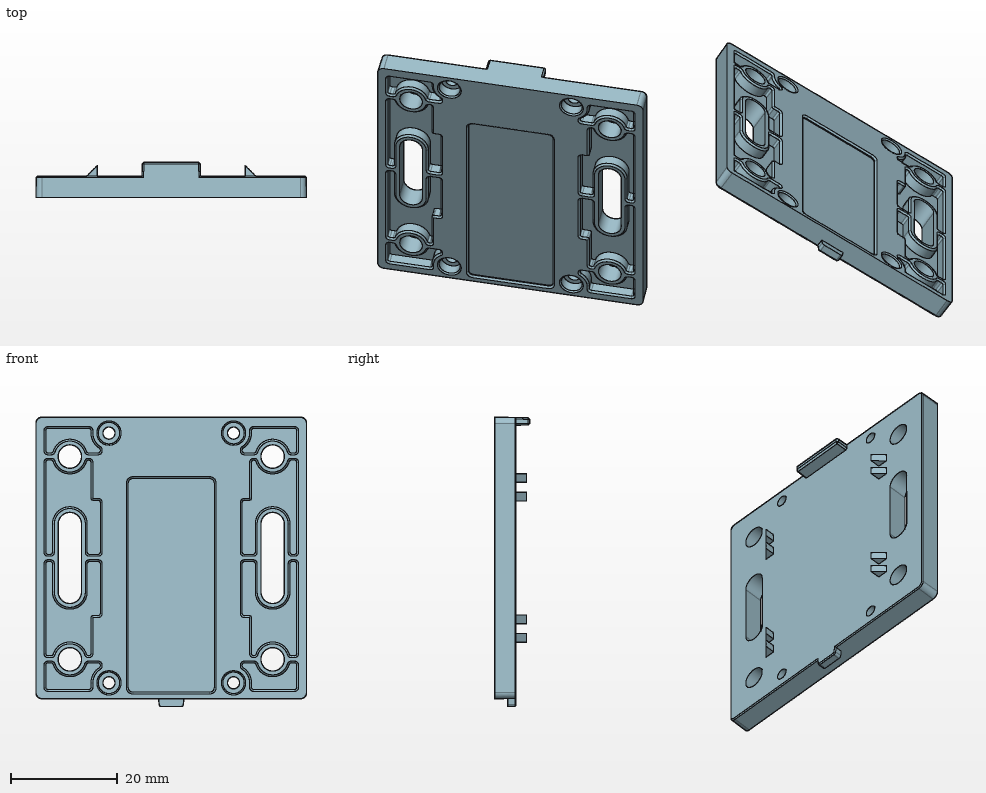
import cadquery as cq

width = 50.75
overall_height = 54.25
overall_depth = 6.6
plate_height = 52.8
plate_thickness = 4.0
plate_corner_radius = 1.2
back_edge_chamfer = 0.2
draft_angle = 1.0
edge_chamfer = 0.355

hole_x = 19.0
hole_z = 19.0
hole_diameter = 4.35
slot_length = 17.05
collar_wall = 1.1

pocket_depth = 2.2

screw_x = 11.65
screw_z = 23.4
screw_diameter = 2.2
counterbore_diameter = 4.0
counterbore_depth = pocket_depth
counterbore_chamfer = 0.25
screw_boss_radius = 3.35

pocket_outer_x = 23.5
pocket_wide_x = 13.3
pocket_top_z = 24.25
pocket_bottom_z = -24.65
pocket_step_z = 10.8
rib_thickness = 1.35
pocket_corner_radius = 0.405
pocket_narrow_x = screw_x + screw_boss_radius

recess_width = 16.1
recess_top_z = 14.85
recess_bottom_z = -25.1
recess_depth = 0.55
recess_corner_radius = 0.85

catch_width = 11.1
catch_height = 1.65
catch_chamfer = 0.3

hook_inner_x = 13.85
hook_size = 2.0
hook_thickness = 1.7
hook_pair_z = 13.25
hook_spacing = 3.5

tab_top_width = 5.0
tab_bottom_width = 4.45
tab_depth = 1.6
tab_root = 0.8
tab_chamfer = 0.2
tab_corner_radius = 0.5
tab_drop = overall_height - plate_height


def front_plane(y=0):
    return cq.Workplane("XZ", origin=(0, y, 0))


def block(x_min, x_max, y_min, y_max, z_min, z_max):
    return cq.Workplane("XY").box(
        x_max - x_min, y_max - y_min, z_max - z_min, centered=False
    ).translate((x_min, y_min, z_min))


def mirrored(shape):
    """Return the shape with its copy on the other side of the YZ plane."""
    return shape.union(shape.mirror("YZ"))


def four_corners(shape):
    """Return the shape repeated in all four quadrants of the plate."""
    upper = mirrored(shape)
    return upper.union(upper.mirror("XY"))


def plate():
    outline = cq.Sketch().rect(width, plate_height).vertices().fillet(plate_corner_radius)
    body = front_plane().placeSketch(outline).extrude(-plate_thickness, taper=draft_angle)
    return body.faces(">Y").chamfer(back_edge_chamfer)


def collars(depth):
    """Walls around the mounting hole and the slot of the upper right quadrant."""
    collar_diameter = hole_diameter + 2 * collar_wall
    hole = front_plane().center(hole_x, hole_z).circle(collar_diameter / 2).extrude(-depth)
    slot = front_plane().center(hole_x, 0).slot2D(
        slot_length + 2 * collar_wall, collar_diameter, 90
    ).extrude(-depth)
    return hole.union(slot)


def quadrant_pockets(end_z):
    """Both side pockets of the upper right quadrant, the corner one ending at end_z."""
    half_rib = rib_thickness / 2
    corner_pocket = block(
        pocket_wide_x, pocket_outer_x, 0, pocket_depth, hole_z + half_rib, screw_z
    ).union(block(pocket_narrow_x, pocket_outer_x, 0, pocket_depth, screw_z, end_z))
    screw_boss = front_plane().center(screw_x, screw_z).circle(screw_boss_radius).extrude(-pocket_depth)
    corner_pocket = corner_pocket.cut(screw_boss)

    middle_pocket = block(
        pocket_narrow_x, pocket_outer_x, 0, pocket_depth, half_rib, hole_z - half_rib
    ).union(block(pocket_wide_x, pocket_outer_x, 0, pocket_depth, half_rib, pocket_step_z))

    walls = collars(pocket_depth)
    corner_pocket = corner_pocket.cut(walls).clean()
    middle_pocket = middle_pocket.cut(walls).clean()
    return [corner_pocket, middle_pocket]


def round_corners(pocket):
    return pocket.edges("|Y").fillet(pocket_corner_radius)


def pocketed(body):
    """Cut the side pockets; the lower corner ones end closer to the edge than the upper ones."""
    for pocket in quadrant_pockets(pocket_top_z):
        body = body.cut(mirrored(round_corners(pocket)))
    for pocket in quadrant_pockets(-pocket_bottom_z):
        body = body.cut(mirrored(round_corners(pocket).mirror("XY")))
    return body


def recess():
    height = recess_top_z - recess_bottom_z
    middle_z = (recess_top_z + recess_bottom_z) / 2
    return (
        front_plane().center(0, middle_z).rect(recess_width, height)
        .extrude(-recess_depth).edges("|Y").fillet(recess_corner_radius)
    )


def counterbore():
    radius = counterbore_diameter / 2
    centre = front_plane().center(screw_x, screw_z)
    bore = centre.circle(radius).extrude(-counterbore_depth)
    flare = centre.circle(radius + counterbore_chamfer).extrude(-counterbore_chamfer, taper=45)
    return bore.union(flare)


def through_openings():
    hole = front_plane().center(hole_x, hole_z).circle(hole_diameter / 2).extrude(-plate_thickness)
    screw = front_plane().center(screw_x, screw_z).circle(screw_diameter / 2).extrude(-plate_thickness)
    slot = front_plane().center(hole_x, 0).slot2D(slot_length, hole_diameter, 90).extrude(-plate_thickness)
    return four_corners(hole.union(screw)).union(mirrored(slot))


def catch_block():
    middle_z = (plate_height - catch_height) / 2
    body = front_plane().center(0, middle_z).rect(catch_width, catch_height)
    body = body.extrude(-overall_depth, taper=draft_angle)
    return body.edges().chamfer(catch_chamfer)


def hooks():
    hook = (
        cq.Workplane("XY")
        .moveTo(hook_inner_x, plate_thickness)
        .lineTo(hook_inner_x, plate_thickness + hook_size)
        .lineTo(hook_inner_x + hook_size, plate_thickness)
        .close()
        .extrude(hook_thickness / 2, both=True)
    )
    low = hook.translate((0, 0, hook_pair_z - hook_spacing / 2))
    high = hook.translate((0, 0, hook_pair_z + hook_spacing / 2))
    return four_corners(low.union(high))


def tab():
    """Tapered tongue hanging below the bottom edge, level with the back face."""
    top_z = -plate_height / 2 + tab_root
    bottom_z = -plate_height / 2 - tab_drop
    outline = [
        (-tab_top_width / 2, top_z),
        (tab_top_width / 2, top_z),
        (tab_bottom_width / 2, bottom_z),
        (-tab_bottom_width / 2, bottom_z),
    ]
    body = front_plane(plate_thickness).polyline(outline).close().extrude(tab_depth)
    body = body.edges("|Y").edges("<Z").fillet(tab_corner_radius)
    return body.faces(">Y").chamfer(tab_chamfer)


inner_half_width = width / 2 - plate_corner_radius
inner_half_height = plate_height / 2 - plate_corner_radius
inside_border = cq.selectors.BoxSelector(
    (-inner_half_width, -edge_chamfer, -inner_half_height),
    (inner_half_width, edge_chamfer, inner_half_height),
)
body = pocketed(plate()).cut(recess())
body = body.faces("<Y").edges(inside_border).chamfer(edge_chamfer)
body = body.cut(four_corners(counterbore())).cut(through_openings())
result = body.union(catch_block()).union(hooks()).union(tab())